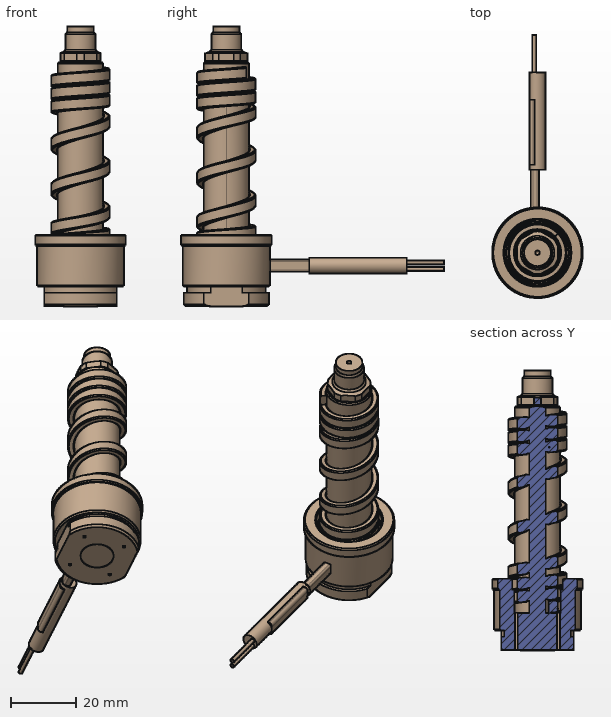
import cadquery as cq
import math


hub_radius = 5.1
hub_height = 0.15
disc_radius = 13.15
disc_chamfer = 0.65
disc_top = 4.35
neck_radius = 12.2
body_radius = 13.45
body_bottom = 6.15
body_chamfer = 0.5
flange_radius = 14.0
flange_bottom = 18.75
flange_top = 22.2
flange_chamfer = 0.45
flange_root = 0.2
flat_distance = 11.2

bore_radius = 10.1
bore_chamfer = 0.4
pocket_radius = 9.6
drain_radius = 0.4
drain_circle_radius = 9.15
drain_count = 4
first_drain_angle = 45

shaft_radius = 7.0
shaft_top = 75.25
shaft_chamfer = 0.45
undercut_radius = 5.4
collar_bottom = 75.6
collar_top = 78.4
collar_flat_distance = 6.2
collar_corner_radius = 6.6
collar_chamfer_radius = 5.2
collar_chamfer_height = 0.5
stem_radius = 4.63
stem_flare_height = 0.7
stem_top = 84.1
stem_chamfer = 0.3
tip_radius = 4.1
tip_fillet_height = 0.4
total_height = 86.2
tip_hole_radius = 0.7
tip_hole_depth = 2.0

spring_inner_radius = 6.9
spring_outer_radius = 9.05
coil_height = 3.7
coil_chamfer = 0.4
closed_pitch = 3.97
open_pitch = 13.9
closed_turn = 930
ramp_turn = 200
open_turn = 725
spring_end_angle = 43
spring_end_height = 71.9
spring_step = 15

cable_height = 12.62
cable_x = -0.8
cable_width = 2.55
cable_depth = 3.9
cable_corner = 0.63
cable_start = 11.6
sleeve_radius = 2.48
sleeve_start = 25.5
sleeve_length = 30.0
pad_start = 27.0
pad_length = 20.0
pad_depth = 4.7
pad_corner = 1.1
lead_radius = 0.65
lead_x = -1.0
lead_spacing = 2.0
lead_end = 67.0


def revolve(points):
    """Solid of revolution about Z from (radius, height) corners."""
    return cq.Workplane("XZ").polyline(points).close().revolve(360, (0, 0), (0, 1))


spring_turn = 2 * (closed_turn + ramp_turn) + open_turn


def rise(turn):
    """Height gained in the first `turn` degrees from the spring's lower end."""
    if turn > spring_turn / 2:
        return 2 * rise(spring_turn / 2) - rise(spring_turn - turn)
    ramp = min(max(turn - closed_turn, 0), ramp_turn)
    steep = max(turn - closed_turn - ramp_turn, 0)
    extra = ramp**2 / (2 * ramp_turn) + steep
    return (closed_pitch * turn + (open_pitch - closed_pitch) * extra) / 360


spring_start_height = spring_end_height - rise(spring_turn)
bore_floor = spring_start_height - coil_height / 2


def coil_point(radius, offset, turn):
    angle = math.radians(spring_end_angle - spring_turn + turn)
    height = spring_start_height + rise(turn) + offset
    return cq.Vector(radius * math.cos(angle), radius * math.sin(angle), height)


def make_spring():
    """Octagonal section carried along the coil; its corners trace the edges."""
    half = coil_height / 2
    low = half - coil_chamfer
    near = spring_inner_radius + coil_chamfer
    far = spring_outer_radius - coil_chamfer
    section = [
        (near, -half), (far, -half), (spring_outer_radius, -low), (spring_outer_radius, low),
        (far, half), (near, half), (spring_inner_radius, low), (spring_inner_radius, -low),
    ]
    steps = math.ceil(spring_turn / spring_step)
    turns = [spring_turn * i / steps for i in range(steps + 1)]
    edges = [cq.Edge.makeSpline([coil_point(r, z, t) for t in turns]) for r, z in section]
    faces = [cq.Face.makeRuledSurface(edges[i - 1], edges[i]) for i in range(len(edges))]
    for turn in (0, spring_turn):
        corners = [coil_point(r, z, turn) for r, z in section]
        faces.append(cq.Face.makeFromWires(cq.Wire.makePolygon(corners, close=True)))
    return cq.Workplane(cq.Solid.makeSolid(cq.Shell.makeShell(faces)))


def make_base():
    base = revolve([
        (0, 0), (hub_radius, 0), (hub_radius, hub_height),
        (disc_radius - disc_chamfer, hub_height), (disc_radius, hub_height + disc_chamfer),
        (disc_radius, disc_top), (neck_radius, disc_top), (neck_radius, body_bottom),
        (body_radius - body_chamfer, body_bottom), (body_radius, body_bottom + body_chamfer),
        (body_radius, flange_bottom - flange_root),
        (body_radius + flange_root, flange_bottom), (flange_radius - flange_chamfer, flange_bottom),
        (flange_radius, flange_bottom + flange_chamfer),
        (flange_radius, flange_top - flange_chamfer),
        (flange_radius - flange_chamfer, flange_top),
        (bore_radius + bore_chamfer, flange_top), (bore_radius, flange_top - bore_chamfer),
        (bore_radius, flange_bottom), (pocket_radius, flange_bottom),
        (pocket_radius, bore_floor), (0, bore_floor),
    ])
    outside_flat = cq.Workplane("XY").box(
        disc_radius, 2 * disc_radius, body_bottom, centered=(True, True, False)
    )
    for side in (-1, 1):
        offset = side * (flat_distance + disc_radius / 2)
        base = base.cut(outside_flat.translate((offset, 0, 0)))
    drains = (
        cq.Workplane("XY")
        .polarArray(drain_circle_radius, first_drain_angle, 360, drain_count)
        .circle(drain_radius).extrude(bore_floor)
    )
    return base.cut(drains)


def make_core():
    shaft = revolve([
        (0, bore_floor), (shaft_radius, bore_floor), (shaft_radius, shaft_top - shaft_chamfer),
        (shaft_radius - shaft_chamfer, shaft_top), (undercut_radius, shaft_top),
        (undercut_radius, collar_bottom), (0, collar_bottom),
    ])
    collar = revolve([
        (0, collar_bottom), (collar_corner_radius, collar_bottom),
        (collar_corner_radius, collar_top - collar_chamfer_height),
        (collar_chamfer_radius, collar_top), (0, collar_top),
    ])
    hexagon = (
        cq.Workplane("XY", origin=(0, 0, collar_bottom))
        .polygon(6, 2 * collar_flat_distance, circumscribed=True)
        .extrude(collar_top - collar_bottom)
    )
    stem = revolve([
        (0, collar_top), (collar_chamfer_radius, collar_top),
        (stem_radius, collar_top + stem_flare_height), (stem_radius, stem_top - stem_chamfer),
        (stem_radius - stem_chamfer, stem_top), (tip_radius, stem_top + tip_fillet_height),
        (tip_radius, total_height), (0, total_height),
    ])
    tip_hole = revolve([
        (0, total_height), (tip_hole_radius, total_height),
        (tip_hole_radius, total_height - tip_hole_depth),
        (0, total_height - tip_hole_depth - tip_hole_radius),
    ])
    return shaft.union(collar.intersect(hexagon)).union(stem).cut(tip_hole)


def rounded_bar(x_low, width, depth, corner, start, end):
    """Bar along Y with rounded long edges, centred on the cable's height."""
    bar = cq.Workplane("XY").box(width, end - start, depth).edges("|Y").fillet(corner)
    return bar.translate((x_low + width / 2, (start + end) / 2, cable_height))


def rod(x, height, radius, start, end):
    """Round bar along Y."""
    return cq.Workplane("XZ", origin=(x, start, height)).circle(radius).extrude(start - end)


def make_cable():
    sleeve_end = sleeve_start + sleeve_length
    cable_low = cable_x - cable_width / 2
    flat_cable = rounded_bar(cable_low, cable_width, cable_depth, cable_corner, cable_start, sleeve_start)
    sleeve = rod(0, cable_height, sleeve_radius, sleeve_start, sleeve_end)
    pad_end = pad_start + pad_length
    pad = rounded_bar(-sleeve_radius, sleeve_radius, pad_depth, pad_corner, pad_start, pad_end)
    cable = flat_cable.union(sleeve).union(pad)
    for side in (-1, 1):
        height = cable_height + side * lead_spacing / 2
        cable = cable.union(rod(lead_x, height, lead_radius, sleeve_end, lead_end))
    return cable


result = make_base().union(make_core()).union(make_spring()).union(make_cable())